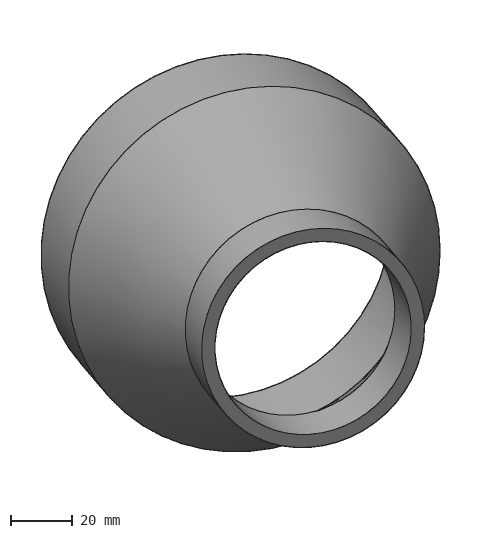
import cadquery as cq

length = 100.0
wide_length = 32.0
narrow_length = 19.0

wide_diameter = 125.0
wide_bore = 110.2
narrow_diameter = 75.0
narrow_bore = 66.0

cone_end = length - narrow_length


def stepped_cone(wide, narrow):
    """Solid of two cylinders joined by a cone, from their diameters."""
    profile = (
        cq.Workplane("XY")
        .moveTo(0, 0)
        .lineTo(0, wide / 2)
        .lineTo(wide_length, wide / 2)
        .lineTo(cone_end, narrow / 2)
        .lineTo(length, narrow / 2)
        .lineTo(length, 0)
        .close()
    )
    return profile.revolve(360, (0, 0, 0), (1, 0, 0))


outside = stepped_cone(wide_diameter, narrow_diameter)
passage = stepped_cone(wide_bore, narrow_bore)
result = outside.cut(passage)